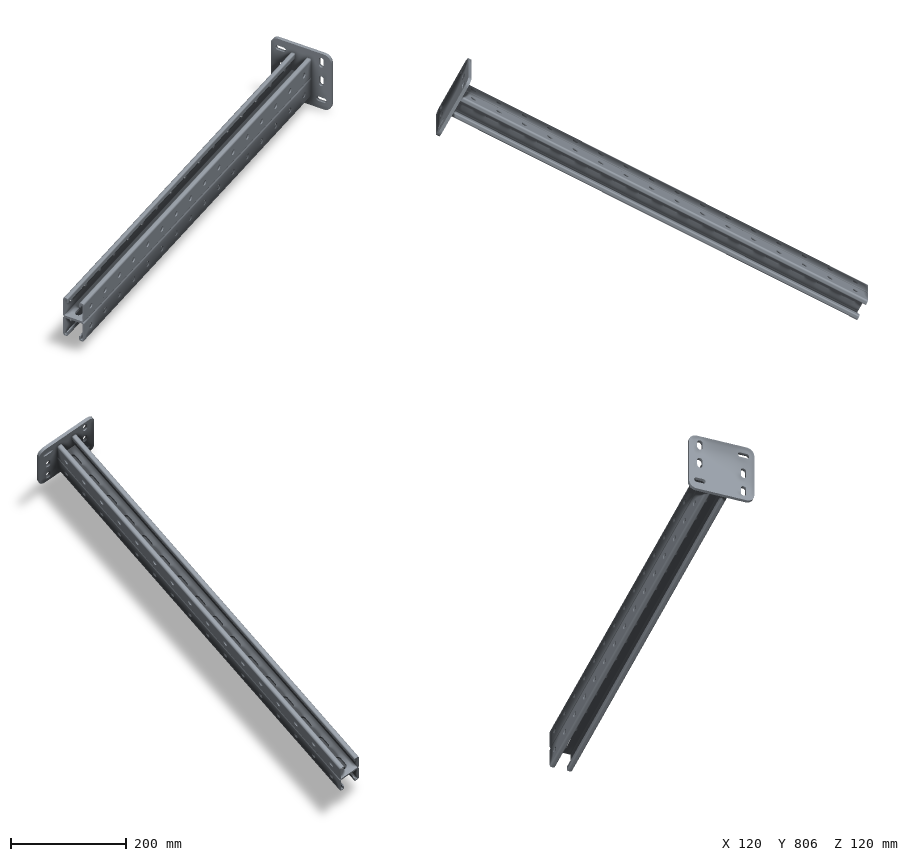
import cadquery as cq

TOTAL_LENGTH = 806.0
PLATE_SIDE = 120.0
PLATE_THICKNESS = 6.0
PLATE_CORNER_RADIUS = 14.5

PLATE_SLOT_WIDTH = 10.0
PLATE_SLOT_LENGTH = 21.0
PLATE_SLOT_OFFSET = 40.0

CHANNEL_WIDTH = 41.0
CHANNEL_DEPTH = 41.0
SHEET_THICKNESS = 2.5
BEND_RADIUS = 3.5
MOUTH_WIDTH = 22.5
MOUTH_EDGE_RADIUS = 2.5
LIP_DEPTH = 10.0

PERFORATION_COUNT = 16
WEB_SLOT_WIDTH = 12.0
WEB_SLOT_LENGTH = 27.5
SIDE_HOLE_DIAMETER = 10.5
SIDE_HOLE_SHIFT = 1.0

BEAM_LENGTH = TOTAL_LENGTH - PLATE_THICKNESS
SIDE_HOLE_HEIGHT = CHANNEL_DEPTH / 2 + SIDE_HOLE_SHIFT
PITCH = BEAM_LENGTH / PERFORATION_COUNT
FREE_END_Y = -TOTAL_LENGTH / 2
PLATE_FRONT_Y = FREE_END_Y + BEAM_LENGTH
PERFORATION_Y = [FREE_END_Y + (i + 0.5) * PITCH for i in range(PERFORATION_COUNT)]


def beam_block(width, height, bottom_z):
    """Box over the beam length, centred on X and standing on bottom_z."""
    return (
        cq.Workplane("XY", origin=(0, PLATE_FRONT_Y - BEAM_LENGTH / 2, bottom_z))
        .box(width, BEAM_LENGTH, height, centered=(True, True, False))
    )


def make_channel():
    """Rolled channel with its web on Z = 0, its mouth up and its lips turned inward."""
    inner_width = CHANNEL_WIDTH - 2 * SHEET_THICKNESS
    inner_depth = CHANNEL_DEPTH - 2 * SHEET_THICKNESS
    inner_bend_radius = BEND_RADIUS - SHEET_THICKNESS
    lip_outer_width = MOUTH_WIDTH + 2 * SHEET_THICKNESS
    lip_bottom = CHANNEL_DEPTH - LIP_DEPTH

    outside = beam_block(CHANNEL_WIDTH, CHANNEL_DEPTH, 0).edges("|Y").fillet(BEND_RADIUS)
    inside = (
        beam_block(inner_width, inner_depth, SHEET_THICKNESS).edges("|Y").fillet(inner_bend_radius)
    )
    lips = beam_block(lip_outer_width, LIP_DEPTH - SHEET_THICKNESS, lip_bottom)
    mouth = beam_block(MOUTH_WIDTH, LIP_DEPTH, lip_bottom)
    sharp_mouth = outside.cut(inside.cut(lips)).cut(mouth)
    mouth_edges = cq.selectors.BoxSelector(
        (-lip_outer_width / 2, FREE_END_Y, CHANNEL_DEPTH - SHEET_THICKNESS / 2),
        (lip_outer_width / 2, PLATE_FRONT_Y, CHANNEL_DEPTH + SHEET_THICKNESS / 2),
    )
    return sharp_mouth.edges("|Y").edges(mouth_edges).fillet(MOUTH_EDGE_RADIUS)


def make_beam():
    """Two mirrored channels, perforated through the joined webs and the side walls."""
    channel = make_channel()
    beam = channel.union(channel.mirror("XY"))
    web_slots = (
        cq.Workplane("XY")
        .pushPoints([(0, y) for y in PERFORATION_Y])
        .slot2D(WEB_SLOT_LENGTH, WEB_SLOT_WIDTH, 90)
        .extrude(SHEET_THICKNESS * 2, both=True)
    )
    side_holes = (
        cq.Workplane("YZ")
        .pushPoints([(y, side * SIDE_HOLE_HEIGHT) for y in PERFORATION_Y for side in (-1, 1)])
        .circle(SIDE_HOLE_DIAMETER / 2)
        .extrude(CHANNEL_WIDTH, both=True)
    )
    return beam.cut(web_slots).cut(side_holes)


def make_plate():
    """Square end plate with six mounting slots, symmetric under a half turn about Y."""
    plate = (
        cq.Workplane("XZ", origin=(0, PLATE_FRONT_Y, 0))
        .rect(PLATE_SIDE, PLATE_SIDE)
        .extrude(-PLATE_THICKNESS)
        .edges("|Y")
        .fillet(PLATE_CORNER_RADIUS)
    )
    offset = PLATE_SLOT_OFFSET
    upright_centers = [(-offset, -offset), (-offset, 0), (offset, 0), (offset, offset)]
    level_centers = [(-offset, offset), (offset, -offset)]
    for centers, angle in ((upright_centers, 90), (level_centers, 0)):
        slots = (
            cq.Workplane("XZ", origin=(0, PLATE_FRONT_Y, 0))
            .pushPoints(centers)
            .slot2D(PLATE_SLOT_LENGTH, PLATE_SLOT_WIDTH, angle)
            .extrude(-PLATE_THICKNESS)
        )
        plate = plate.cut(slots)
    return plate


result = make_plate().union(make_beam())